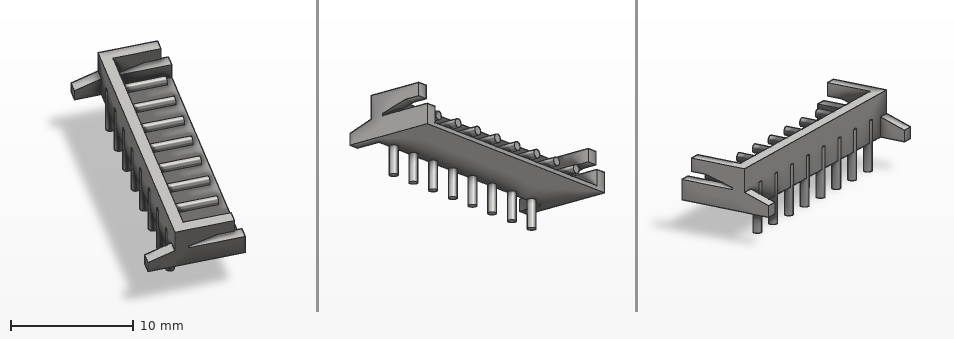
import cadquery as cq

length = 22.5
depth = 6.0
height = 3.8
front_wall = 1.0
side_wall = 1.0
floor_thickness = 0.35

slot_floor = 1.78
slot_end_roof = 1.95
slot_mouth_roof = 2.63
slot_end_y = 1.2
slot_slope_y = 3.7
arm_setback = 0.92

foot_reach = 2.3
foot_root_height = 1.75
foot_tip_height = 1.01

pin_count = 8
pin_pitch = 2.5
pin_diameter = 0.75
pin_axis_y = 0.3
pin_tail_length = 2.5
pin_top = 1.98
pin_axis_z = pin_top - pin_diameter / 2
pin_end_y = depth - arm_setback


def make_side_wall(x_start):
    """Side wall with its arm, slot and foot, as one extruded profile."""
    profile = [
        (-foot_reach, 0),
        (depth, 0),
        (depth, slot_floor),
        (slot_end_y, slot_floor),
        (slot_end_y, slot_end_roof),
        (slot_slope_y, slot_mouth_roof),
        (pin_end_y, slot_mouth_roof),
        (pin_end_y, height),
        (0, height),
        (0, foot_root_height),
        (-foot_reach, foot_tip_height),
    ]
    return (
        cq.Workplane("YZ", origin=(x_start, 0, 0))
        .polyline(profile)
        .close()
        .extrude(side_wall)
    )


def make_pin(x):
    """Round pin with a mitred right-angle bend."""
    path = cq.Workplane("YZ", origin=(x, 0, 0)).polyline(
        [
            (pin_axis_y, -pin_tail_length),
            (pin_axis_y, pin_axis_z),
            (pin_end_y, pin_axis_z),
        ]
    )
    return (
        cq.Workplane("XY", origin=(x, pin_axis_y, -pin_tail_length))
        .circle(pin_diameter / 2)
        .sweep(path, transition="right")
    )


floor = cq.Workplane("XY").box(length, depth, floor_thickness, centered=(True, False, False))
wall = cq.Workplane("XY").box(length, front_wall, height, centered=(True, False, False))
result = floor.union(wall)

for x_start in (-length / 2, length / 2 - side_wall):
    result = result.union(make_side_wall(x_start))

for index in range(pin_count):
    result = result.union(make_pin((index - (pin_count - 1) / 2) * pin_pitch))